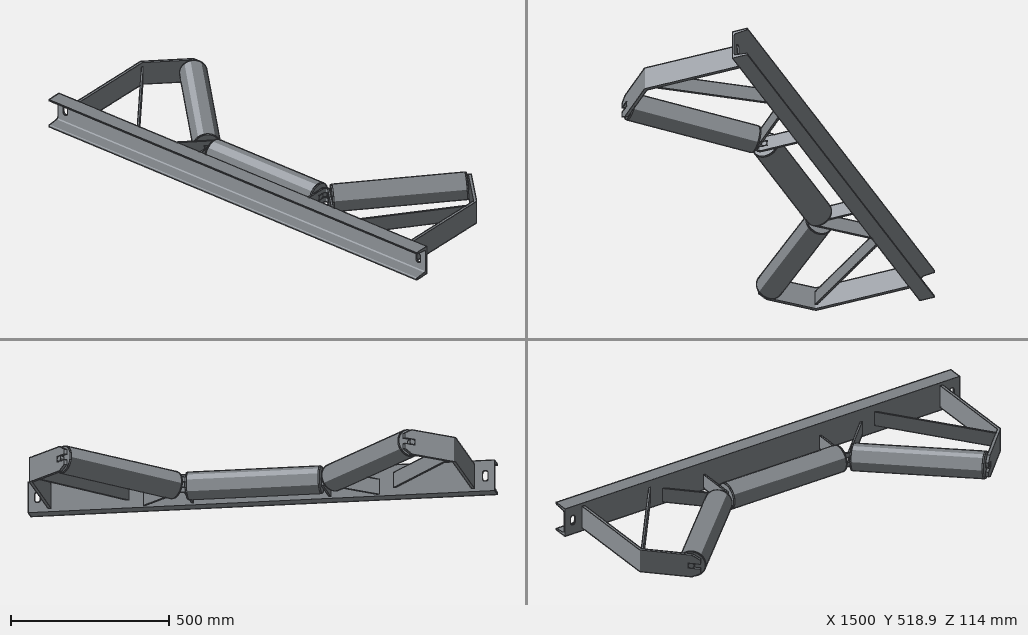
import cadquery as cq
import math


channel_length = 1500.0
channel_height = 100.0
channel_depth = 51.0
web_thickness = 6.0
flange_tip_thickness = 6.0
flange_root_thickness = 10.0
root_radius = 8.0
tip_radius = 3.8
slot_width = 18.0
slot_height = 35.0
slot_end_distance = 30.0

trough_angle = 45.0
roller_diameter = 88.0
roller_length = 432.0
roller_chamfer_length = 5.0
roller_chamfer_depth = 2.0
middle_axis_y = 168.0
side_middle_x = 406.0
side_middle_y = 336.0
low_axis_z = -20.0
high_axis_z = 0.0
shaft_radius = 9.8
shaft_across_flats = 16.0
shaft_slot_width = 18.0

outer_width = 80.0
outer_thickness = 9.8
outer_face_x = 685.0
outer_bend_y = 381.0
outer_inside_radius = 3.0
outer_arm_length = 195.0
outer_corner_length = 27.0
outer_corner_height = 15.0

inner_width = 50.0
inner_thickness = 6.0
inner_face_x = 218.0
inner_foot_x = 380.0
inner_inside_radius = 8.2

strut_width = 50.0
strut_thickness = 6.0
strut_foot_x = 429.0

angle = math.radians(trough_angle)
side_axis = cq.Vector(math.cos(angle), math.sin(angle), 0)
arm_up = cq.Vector(-math.sin(angle), math.cos(angle), 0)
side_tilt = math.asin((high_axis_z - low_axis_z) / roller_length)
side_middle = cq.Vector(side_middle_x, side_middle_y, (low_axis_z + high_axis_z) / 2)
tilted_axis = side_axis * math.cos(side_tilt) + cq.Vector(0, 0, math.sin(side_tilt))
outer_inside_x = outer_face_x - outer_thickness
outer_inside_bend_y = outer_bend_y - outer_thickness * math.tan(angle / 2)
outer_corner = cq.Vector(outer_face_x, outer_bend_y, 0)
outer_tip = outer_corner + arm_up * outer_arm_length
inner_bend_y = channel_depth + (inner_foot_x - inner_face_x) / math.tan(angle)
inner_corner = cq.Vector(inner_face_x, inner_bend_y, 0)


def plate(points, width, middle_z):
    """Plate standing on its outline in XY, centred on a height."""
    bottom = cq.Workplane("XY").workplane(offset=middle_z - width / 2)
    return bottom.polyline(points).close().extrude(width)


def round_upright(body, point, middle_z, radius):
    """Round the upright edge that passes through a point."""
    edge = cq.NearestToPointSelector((point[0], point[1], middle_z))
    return body.edges("|Z").edges(edge).fillet(radius)


def axis_reach(point):
    """Distance from the side roller's middle, along its tilted axis, to the plate face at a point."""
    return (point - side_middle).dot(side_axis) / math.cos(side_tilt)


def side_slot_bottom(point):
    """Where the side roller's shaft rests in the plate face that passes through a point."""
    return side_middle + tilted_axis * axis_reach(point) - arm_up * shaft_radius


def make_channel():
    half = channel_height / 2
    web_y = channel_depth - web_thickness
    tip_z = half - flange_tip_thickness
    root_z = half - flange_root_thickness
    outline = [
        (0, half), (channel_depth, half), (channel_depth, -half), (0, -half),
        (0, -tip_z), (web_y, -root_z), (web_y, root_z), (0, tip_z),
    ]
    end = cq.Workplane("YZ").workplane(offset=-channel_length / 2)
    channel = end.polyline(outline).close().extrude(channel_length)
    for side in (-1, 1):
        root = cq.NearestToPointSelector((0, web_y, side * root_z))
        channel = channel.edges("|X").edges(root).fillet(root_radius)
        tip = cq.NearestToPointSelector((0, 0, side * tip_z))
        channel = channel.edges("|X").edges(tip).fillet(tip_radius)
    slot_x = channel_length / 2 - slot_end_distance
    slots = (
        cq.Workplane("XZ")
        .pushPoints([(-slot_x, 0), (slot_x, 0)])
        .slot2D(slot_height, slot_width, 90)
        .extrude(-channel_depth)
    )
    return channel.cut(slots)


def make_roller(middle, axis, across, shaft_inner, shaft_outer):
    """Roller with its two shaft ends, which reach the given distances from its middle.

    The shaft is flattened on the two sides that face square to both axis and across.
    """
    frame = cq.Plane(origin=middle, xDir=across, normal=axis)
    drum_start = cq.Workplane(frame).workplane(offset=-roller_length / 2)
    drum = drum_start.circle(roller_diameter / 2).extrude(roller_length)
    drum = drum.faces("%PLANE").edges().chamfer(roller_chamfer_length, roller_chamfer_depth)
    shaft_length = shaft_inner + shaft_outer
    shaft_start = cq.Workplane(frame).workplane(offset=-shaft_inner)
    flats = shaft_start.rect(2 * shaft_radius, shaft_across_flats).extrude(shaft_length)
    shaft = shaft_start.circle(shaft_radius).extrude(shaft_length).intersect(flats)
    return drum.union(shaft)


def make_middle_roller():
    reach = inner_face_x + inner_thickness
    return make_roller(
        cq.Vector(0, middle_axis_y, low_axis_z), cq.Vector(1, 0, 0), cq.Vector(0, 1, 0), reach, reach
    )


def make_side_roller():
    reach_in = -axis_reach(inner_corner - side_axis * inner_thickness)
    reach_out = axis_reach(outer_corner)
    return make_roller(side_middle, tilted_axis, arm_up, reach_in, reach_out)


def shaft_slot(bottom, towards, length, thickness_axis, depth):
    """Cutter for an open slot that starts under a shaft and runs along a plate."""
    frame = cq.Plane(origin=bottom, xDir=towards, normal=thickness_axis)
    outline = cq.Workplane(frame).center(length / 2, 0).rect(length, shaft_slot_width)
    return outline.extrude(depth, both=True)


def make_outer_bracket():
    arm_inside = outer_tip - side_axis * outer_thickness
    outline = [
        (outer_face_x, channel_depth),
        (outer_face_x, outer_bend_y),
        (outer_tip.x, outer_tip.y),
        (arm_inside.x, arm_inside.y),
        (outer_inside_x, outer_inside_bend_y),
        (outer_inside_x, channel_depth),
    ]
    bracket = plate(outline, outer_width, 0)
    bracket = round_upright(bracket, outline[1], 0, outer_inside_radius + outer_thickness)
    bracket = round_upright(bracket, outline[4], 0, outer_inside_radius)
    tip_frame = cq.Plane(origin=outer_tip, xDir=arm_up, normal=side_axis)
    half = outer_width / 2
    for side in (-1, 1):
        corner = [
            (0, side * half),
            (-outer_corner_length, side * half),
            (0, side * (half - outer_corner_height)),
        ]
        bracket = bracket.cut(
            cq.Workplane(tip_frame).polyline(corner).close().extrude(outer_thickness, both=True)
        )
    bottom = side_slot_bottom(outer_corner)
    return bracket.cut(shaft_slot(bottom, arm_up, outer_arm_length, side_axis, outer_thickness))


def make_inner_bracket():
    foot_thickness = inner_thickness / math.sin(angle)
    inside_x = inner_face_x + inner_thickness
    inside_bend_y = inner_bend_y - inner_thickness / math.tan(angle / 2)
    outline = [
        (inner_face_x, channel_depth),
        (inner_face_x, inner_bend_y),
        (inner_foot_x, channel_depth),
        (inner_foot_x - foot_thickness, channel_depth),
        (inside_x, inside_bend_y),
        (inside_x, channel_depth),
    ]
    bracket = plate(outline, inner_width, low_axis_z)
    bracket = round_upright(bracket, outline[1], low_axis_z, inner_inside_radius + inner_thickness)
    bracket = round_upright(bracket, outline[4], low_axis_z, inner_inside_radius)
    middle_bottom = cq.Vector(inner_face_x, middle_axis_y - shaft_radius, low_axis_z)
    side_bottom = side_slot_bottom(inner_corner)
    slot_length = inner_bend_y - middle_bottom.y
    upright_slot = shaft_slot(
        middle_bottom, cq.Vector(0, 1, 0), slot_length, cq.Vector(1, 0, 0), 2 * inner_thickness
    )
    leaning_slot = shaft_slot(side_bottom, arm_up, slot_length, side_axis, 2 * inner_thickness)
    return bracket.cut(upright_slot).cut(leaning_slot)


def make_strut():
    """Strut that leans from the channel into the inside corner of the outer bracket's bend."""
    foot = cq.Vector(strut_foot_x, channel_depth, 0)
    corner = cq.Vector(outer_inside_x, outer_inside_bend_y, 0)
    along = (corner - foot).normalized()
    half_across = cq.Vector(-along.y, along.x, 0) * (strut_thickness / 2)
    half_foot = cq.Vector(strut_thickness / 2 / along.y, 0, 0)
    top = corner + along * strut_thickness
    outline = [foot - half_foot, foot + half_foot, top - half_across, top + half_across]
    strut = plate([point.toTuple()[:2] for point in outline], strut_width, 0)
    return strut.cut(make_outer_bracket())


channel = make_channel()
middle_roller = make_middle_roller()
bodies = [channel.val(), middle_roller.val()]
for make_side_body in (make_side_roller, make_outer_bracket, make_inner_bracket, make_strut):
    right_body = make_side_body()
    bodies += [right_body.val(), right_body.mirror("YZ").val()]

result = cq.Compound.makeCompound(bodies)